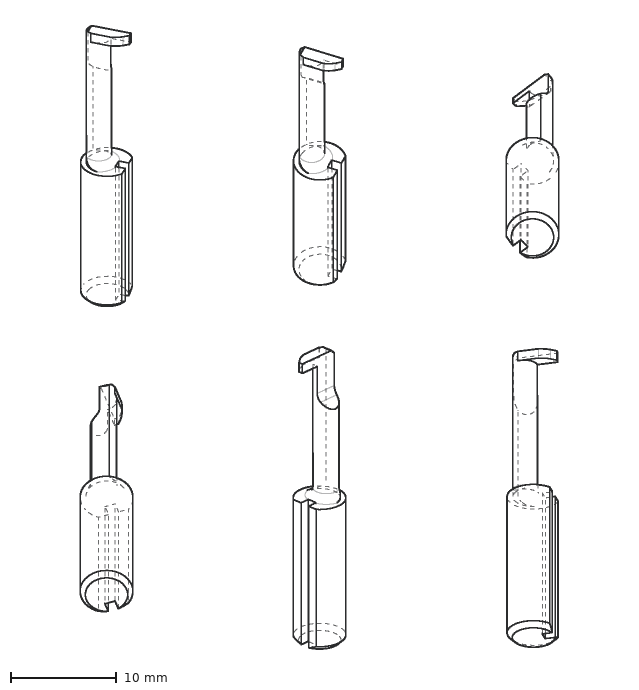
import cadquery as cq
import math

shank_radius = 2.5
shank_length = 15.0
shank_chamfer = 0.5
shank_flat_x = 2.0

slot_width = 1.0
slot_floor_x = 1.0

total_length = 30.0
neck_radius = 1.25
neck_center_x = -0.88
neck_trim_radius = 1.97
neck_root_fillet = 0.75
neck_tip_chamfer = 0.4

rake_y = 0.05
ramp_start_z = 24.5
rake_fillet = 1.2
ramp_angle = math.radians(45)

blade_thickness = 1.0
blade_tip_x = 2.38
blade_tip_y = -0.4
blade_back_start_x = -1.2
blade_back_y = -neck_radius
blade_heel_start_x = 0.79
blade_heel_end_x = 1.87
blade_heel_end_y = -0.8
blade_heel_bulge = 0.05


def make_shank():
    """Round shank with a chamfered end and a side flat."""
    shank = (
        cq.Workplane("XY")
        .circle(shank_radius)
        .extrude(shank_length)
        .faces("<Z")
        .chamfer(shank_chamfer)
    )
    flat_cutter = cq.Workplane("XY").box(
        shank_radius, 2 * shank_radius, shank_length, centered=(False, True, False)
    )
    return shank.cut(flat_cutter.translate((shank_flat_x, 0, 0)))


def make_slot_cutter():
    """Slot along the full shank and through the fillet at the neck root."""
    slot_height = shank_length + neck_root_fillet
    cutter = cq.Workplane("XY").box(
        shank_radius, slot_width, slot_height, centered=(False, True, False)
    )
    return cutter.translate((slot_floor_x, 0, 0))


def make_neck():
    """Bar with a flared root, revolved about its own axis, then trimmed on the outside."""
    root_radius = neck_radius + neck_root_fillet
    diagonal = neck_root_fillet * (1 - math.sqrt(0.5))
    neck = (
        cq.Workplane("XZ")
        .moveTo(0, shank_length)
        .lineTo(root_radius, shank_length)
        .threePointArc(
            (neck_radius + diagonal, shank_length + diagonal),
            (neck_radius, shank_length + neck_root_fillet),
        )
        .lineTo(neck_radius, total_length)
        .lineTo(0, total_length)
        .close()
        .revolve(360, (0, 0, 0), (0, 1, 0))
        .translate((neck_center_x, 0, 0))
    )
    trim = cq.Workplane("XY").circle(neck_trim_radius).extrude(total_length)
    return neck.intersect(trim)


def make_rake_cutter():
    """Material removed above the rake face, with a rounded corner into the ramp."""
    mid_angle = ramp_angle / 2
    tangent_length = rake_fillet * math.tan(mid_angle)
    ramp_slope = 1 / math.tan(ramp_angle)
    corner_z = ramp_start_z + (neck_radius - rake_y) * ramp_slope
    ramp_tangent_y = rake_y + tangent_length * math.sin(ramp_angle)
    ramp_tangent_z = corner_z - tangent_length * math.cos(ramp_angle)
    ramp_end_z = corner_z - (shank_radius - rake_y) * ramp_slope
    arc_center_y = rake_y + rake_fillet
    arc_center_z = corner_z + tangent_length
    return (
        cq.Workplane("YZ")
        .moveTo(shank_radius, total_length)
        .lineTo(rake_y, total_length)
        .lineTo(rake_y, arc_center_z)
        .threePointArc(
            (
                arc_center_y - rake_fillet * math.cos(mid_angle),
                arc_center_z - rake_fillet * math.sin(mid_angle),
            ),
            (ramp_tangent_y, ramp_tangent_z),
        )
        .lineTo(shank_radius, ramp_end_z)
        .close()
        .extrude(shank_radius, both=True)
    )


def make_blade():
    """Hooked cutting blade reaching sideways from the neck."""
    heel_mid_x = (blade_heel_start_x + blade_heel_end_x) / 2 + blade_heel_bulge
    heel_mid_y = (blade_back_y + blade_heel_end_y) / 2 - blade_heel_bulge
    return (
        cq.Workplane("XY")
        .workplane(offset=total_length - blade_thickness)
        .moveTo(blade_back_start_x, rake_y)
        .lineTo(blade_tip_x, rake_y)
        .lineTo(blade_tip_x, blade_tip_y)
        .lineTo(blade_heel_end_x, blade_heel_end_y)
        .threePointArc((heel_mid_x, heel_mid_y), (blade_heel_start_x, blade_back_y))
        .lineTo(blade_back_start_x, blade_back_y)
        .close()
        .extrude(blade_thickness)
    )


def make_tip_chamfer_cutter():
    """Prism that bevels the back of the neck at the tip."""
    return (
        cq.Workplane("XZ")
        .moveTo(-neck_trim_radius, total_length - neck_tip_chamfer)
        .lineTo(-neck_trim_radius + neck_tip_chamfer, total_length)
        .lineTo(-neck_trim_radius, total_length)
        .close()
        .extrude(shank_radius, both=True)
    )


neck = make_neck().cut(make_rake_cutter()).cut(make_tip_chamfer_cutter())
result = make_shank().union(neck).cut(make_slot_cutter()).union(make_blade())